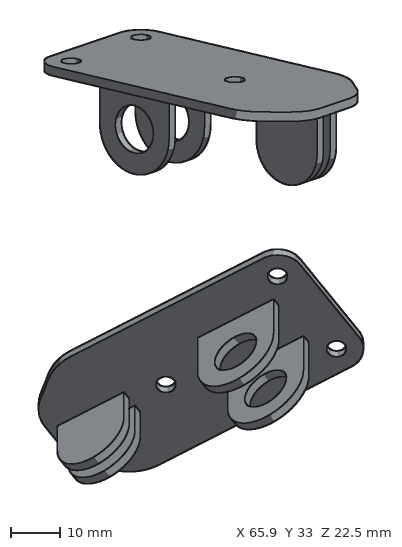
import cadquery as cq
import math

length = 65.9
width = 33.0
thickness = 2.0
rear_radius = 5.5

shoulder_start = 51.8
shoulder_radius = 11.0
tip_radius = 8.0
tip_half_width = 4.35

hole_diameter = 4.0
center_hole_x = 39.5

lug_thickness = 2.0
large_lug_x = 18.45
large_lug_radius = 9.15
large_lug_depth = 22.5
large_lug_offset = 5.6
eye_diameter = 10.0
eye_depth = 13.0
small_lug_x = 55.7
small_lug_radius = 8.05
small_lug_depth = 18.45
small_lug_offset = 2.05


def nose_slope():
    """Angle of the line that touches both the shoulder arc and the tip arc."""
    run = (length - tip_radius) - shoulder_start
    drop = (width / 2 - shoulder_radius) - tip_half_width
    distance = math.hypot(run, drop)
    return math.atan2(drop, run) + math.asin((shoulder_radius - tip_radius) / distance)


def arc_point(center, radius, angle):
    """Point on an arc, with the angle measured from +Y towards +X."""
    return (center[0] + radius * math.sin(angle), center[1] + radius * math.cos(angle))


def make_plate():
    half = width / 2
    slope = nose_slope()
    shoulder = (shoulder_start, half - shoulder_radius)
    tip = (length - tip_radius, tip_half_width)
    rear = (rear_radius, half - rear_radius)
    half_plate = (
        cq.Workplane("XY")
        .moveTo(0, 0)
        .lineTo(0, rear[1])
        .threePointArc(arc_point(rear, rear_radius, -math.pi / 4), (rear_radius, half))
        .lineTo(shoulder_start, half)
        .threePointArc(
            arc_point(shoulder, shoulder_radius, slope / 2),
            arc_point(shoulder, shoulder_radius, slope),
        )
        .lineTo(*arc_point(tip, tip_radius, slope))
        .threePointArc(
            arc_point(tip, tip_radius, (slope + math.pi / 2) / 2),
            (length, tip_half_width),
        )
        .lineTo(length, 0)
        .close()
        .extrude(-thickness)
    )
    plate = half_plate.union(half_plate.mirror("XZ")).clean()
    hole_centers = [rear, (rear[0], -rear[1]), (center_hole_x, 0)]
    holes = cq.Workplane("XY").pushPoints(hole_centers).circle(hole_diameter / 2).extrude(-thickness)
    return plate.cut(holes)


def make_lug(x, y, radius, depth):
    """Round-ended lug, centred at x and y, reaching from the plate underside to depth."""
    center_z = radius - depth
    lug = (
        cq.Workplane("XZ", origin=(x, y, 0))
        .moveTo(-radius, -thickness)
        .lineTo(-radius, center_z)
        .threePointArc((0, -depth), (radius, center_z))
        .lineTo(radius, -thickness)
        .close()
        .extrude(lug_thickness / 2, both=True)
    )
    return lug


def make_eye_lug(y):
    """Large lug at the given y, with its eye bored through."""
    lug = make_lug(large_lug_x, y, large_lug_radius, large_lug_depth)
    eye = (
        cq.Workplane("XZ", origin=(large_lug_x, y, -eye_depth))
        .circle(eye_diameter / 2)
        .extrude(lug_thickness / 2, both=True)
    )
    return lug.cut(eye)


result = make_plate()
for side in (-1, 1):
    large_lug = make_eye_lug(side * large_lug_offset)
    small_lug = make_lug(small_lug_x, side * small_lug_offset, small_lug_radius, small_lug_depth)
    result = result.union(large_lug).union(small_lug)